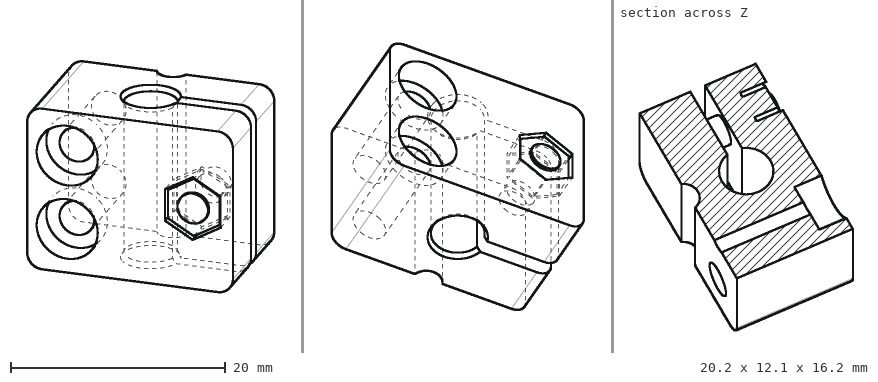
import cadquery as cq
import math

length = 20.2
depth = 12.1
height = 16.2
corner_radius = 1.5
front_y = -depth / 2
back_y = depth / 2

bore_diameter = 5.0
bore_chamfer_width = 0.3
bore_chamfer_depth = 0.53
slot_width = 1.5

groove_diameter = 3.0
groove_depth = 1.0

screw_offset = 6.16
hole_spacing = 7.4
hole_diameter = 3.4
counterbore_diameter = 6.0
counterbore_depth = 2.8
pin_diameter = 3.0

pocket_flats = 5.45
nut_flats = 5.0
nut_recess = 0.3
nut_thickness = 2.4


def cylinder_along_y(diameter, x, z, y_start, y_end):
    return (
        cq.Workplane("XZ", origin=(x, y_start, z))
        .circle(diameter / 2)
        .extrude(y_start - y_end)
    )


def make_block():
    block = cq.Workplane("XY").box(length, depth, height)
    return block.edges("|Y").fillet(corner_radius)


def cut_bore_and_slot(body):
    body = body.faces(">Z").workplane(origin=(0, 0, 0)).hole(bore_diameter)
    bore_radius = bore_diameter / 2
    mouth_radius = bore_radius + bore_chamfer_width
    top_z = height / 2
    countersink = (
        cq.Workplane("XZ")
        .moveTo(0, top_z)
        .lineTo(mouth_radius, top_z)
        .lineTo(bore_radius, top_z - bore_chamfer_depth)
        .lineTo(0, top_z - bore_chamfer_depth)
        .close()
        .revolve(360, (0, 0), (0, 1))
    )
    body = body.cut(countersink).cut(countersink.mirror("XY"))
    slot = cq.Workplane("XY").box(length / 2, slot_width, height, centered=(False, True, True))
    return body.cut(slot)


def cut_groove(body):
    groove_y = back_y - groove_depth + groove_diameter / 2
    groove = (
        cq.Workplane("XY")
        .center(0, groove_y)
        .circle(groove_diameter / 2)
        .extrude(height / 2, both=True)
    )
    return body.cut(groove)


def cut_mounting_holes(body):
    for z in (-hole_spacing / 2, hole_spacing / 2):
        body = body.cut(cylinder_along_y(hole_diameter, -screw_offset, z, front_y, back_y))
        shoulder_y = front_y + counterbore_depth
        body = body.cut(cylinder_along_y(counterbore_diameter, -screw_offset, z, front_y, shoulder_y))
    return body


def hexagon_along_y(across_flats, y_start, y_end):
    across_corners = across_flats / math.cos(math.radians(30))
    return (
        cq.Workplane("XZ", origin=(screw_offset, y_start, 0))
        .transformed(rotate=(0, 0, 90))
        .polygon(6, across_corners)
        .extrude(y_start - y_end)
    )


def fit_nut(body):
    nut_face_y = front_y + nut_recess
    pocket_floor_y = nut_face_y + nut_thickness
    body = body.cut(hexagon_along_y(pocket_flats, front_y, pocket_floor_y))
    return body.union(hexagon_along_y(nut_flats, nut_face_y, pocket_floor_y))


def add_screw(body):
    return body.union(cylinder_along_y(pin_diameter, screw_offset, 0, front_y, slot_width))


result = make_block()
result = cut_bore_and_slot(result)
result = cut_groove(result)
result = cut_mounting_holes(result)
result = fit_nut(result)
result = add_screw(result)